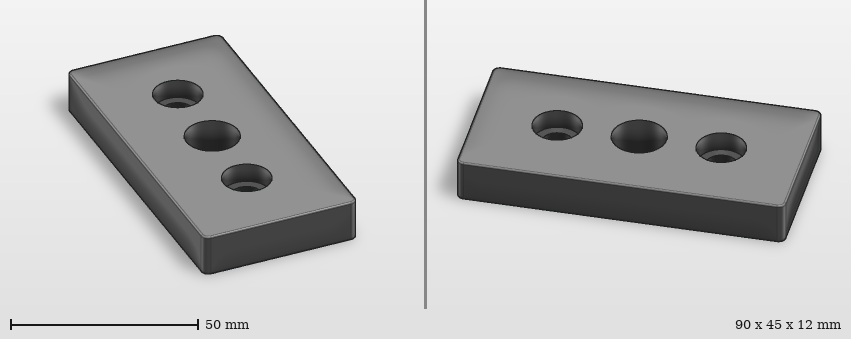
import cadquery as cq

length = 90.0
width = 45.0
thickness = 12.0
corner_radius = 2.0
edge_radius = 0.5

centre_hole_diameter = 15.0
screw_spacing = length / 2
screw_hole_diameter = 8.5
counterbore_diameter = 13.5
counterbore_depth = 5.5


def rounded_plate():
    """Plate centred on the origin in X and Y, standing on Z = 0."""
    plate = cq.Workplane("XY").box(length, width, thickness, centered=(True, True, False))
    plate = plate.edges("|Z").fillet(corner_radius)
    return plate.faces("<Z or >Z").edges().fillet(edge_radius)


def add_centre_hole(plate):
    return plate.faces(">Z").workplane(origin=(0, 0, 0)).hole(centre_hole_diameter)


def add_screw_holes(plate):
    """Counterbored through holes, one on each side of the centre hole."""
    screw_points = [(-screw_spacing / 2, 0), (screw_spacing / 2, 0)]
    top = plate.faces(">Z").workplane(origin=(0, 0, 0))
    return top.pushPoints(screw_points).cboreHole(
        screw_hole_diameter, counterbore_diameter, counterbore_depth
    )


result = add_screw_holes(add_centre_hole(rounded_plate()))